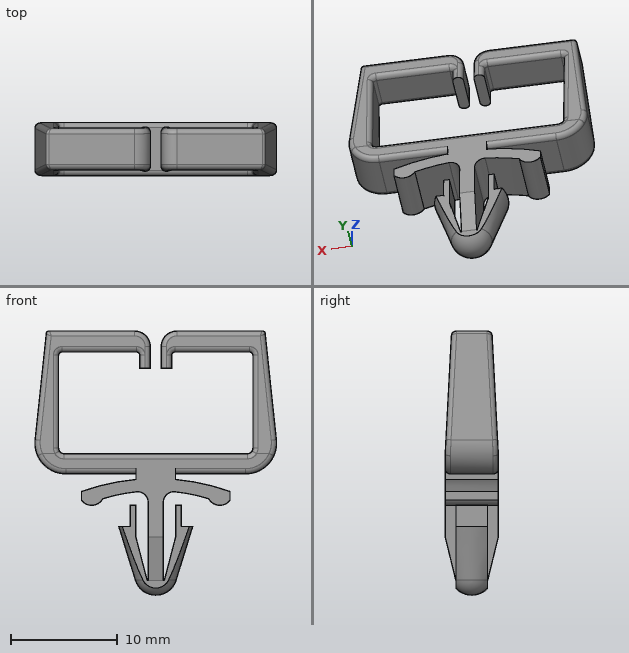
import cadquery as cq
import math

HEIGHT = 24.8
WIDTH = 22.7
DEPTH = 5.0

LOOP_BOTTOM = 11.38
LOOP_CORNER_RADIUS = 2.9
SIDE_LEAN = 6.0
FACE_DRAFT = 3.0
WINDOW_WIDTH = 18.2
WINDOW_FLOOR = 13.3
WINDOW_CEILING = 22.82
FLOOR_CORNER_RADIUS = 0.5
CEILING_CORNER_RADIUS = 0.3
EDGE_RADIUS = 0.5
SHOULDER_RADIUS = 0.25

GAP_WIDTH = 1.0
LIP_THICKNESS = 1.02
LIP_BOTTOM = 21.28
LIP_OUTER_RADIUS = 1.5

NECK_WIDTH = 3.72
WING_SPAN = 13.95
WING_CROWN = 10.95
WING_UPPER_RADIUS = 20.58
WING_UNDERSIDE = 9.8
WING_LOWER_RADIUS = 16.86
FOOT_TOP = 8.93
FOOT_BOTTOM = 8.43
FOOT_WIDTH = 2.0
STEM_WIDTH = 1.45
STEM_FILLET = 1.0
STEM_TAPER_TOP = 5.48

ANCHOR_DEPTH = 3.0
TIP_RADIUS = 2.0
BARB_DIAMETER = 6.97
BARB_LEDGE = 6.47
FINGER_TOP = 8.45
FINGER_THICKNESS = 0.55
SLOT_TOP_WIDTH = 3.72
SLOT_BOTTOM_WIDTH = 1.59
SLOT_BOTTOM = 1.4

TOLERANCE = 0.0002


def polar(center_x, center_z, radius, degrees):
    angle = math.radians(degrees)
    return center_x + radius * math.cos(angle), center_z + radius * math.sin(angle)


def extrude_across(sketch, depth):
    """Extrude an XZ outline by the given depth, centred on Y = 0."""
    return sketch.extrude(depth / 2, both=True)


def loop_outline():
    """Right half of the loop, from the centre of its underside to the lip."""
    corner_x = WIDTH / 2 - LOOP_CORNER_RADIUS
    corner_z = LOOP_BOTTOM + LOOP_CORNER_RADIUS
    wall_x, wall_z = polar(corner_x, corner_z, LOOP_CORNER_RADIUS, SIDE_LEAN)
    shoulder_x = wall_x - (HEIGHT - wall_z) * math.tan(math.radians(SIDE_LEAN))
    lip_outer = GAP_WIDTH / 2
    lip_inner = lip_outer + LIP_THICKNESS
    lip_center = (lip_outer + LIP_OUTER_RADIUS, HEIGHT - LIP_OUTER_RADIUS)
    window_x = WINDOW_WIDTH / 2
    ceiling_r = CEILING_CORNER_RADIUS
    ceiling_z = WINDOW_CEILING - ceiling_r
    floor_r = FLOOR_CORNER_RADIUS
    return (
        cq.Workplane("XZ")
        .moveTo(0, LOOP_BOTTOM)
        .lineTo(corner_x, LOOP_BOTTOM)
        .threePointArc(
            polar(corner_x, corner_z, LOOP_CORNER_RADIUS, (SIDE_LEAN - 90) / 2),
            (wall_x, wall_z),
        )
        .lineTo(shoulder_x, HEIGHT)
        .lineTo(lip_center[0], HEIGHT)
        .threePointArc(polar(*lip_center, LIP_OUTER_RADIUS, 135), (lip_outer, lip_center[1]))
        .lineTo(lip_outer, LIP_BOTTOM)
        .lineTo(lip_inner, LIP_BOTTOM)
        .lineTo(lip_inner, ceiling_z)
        .threePointArc(
            polar(lip_inner + ceiling_r, ceiling_z, ceiling_r, 135),
            (lip_inner + ceiling_r, WINDOW_CEILING),
        )
        .lineTo(window_x - ceiling_r, WINDOW_CEILING)
        .threePointArc(
            polar(window_x - ceiling_r, ceiling_z, ceiling_r, 45), (window_x, ceiling_z)
        )
        .lineTo(window_x, WINDOW_FLOOR + floor_r)
        .threePointArc(
            polar(window_x - floor_r, WINDOW_FLOOR + floor_r, floor_r, -45),
            (window_x - floor_r, WINDOW_FLOOR),
        )
        .lineTo(0, WINDOW_FLOOR)
        .close()
    )


def drafted_envelope():
    """Side outline of the loop: straight up to the window floor, then narrowing."""
    top_half = DEPTH / 2 - (HEIGHT - WINDOW_FLOOR) * math.tan(math.radians(FACE_DRAFT))
    return (
        cq.Workplane("YZ")
        .moveTo(-DEPTH / 2, 0)
        .lineTo(DEPTH / 2, 0)
        .lineTo(DEPTH / 2, WINDOW_FLOOR)
        .lineTo(top_half, HEIGHT)
        .lineTo(-top_half, HEIGHT)
        .lineTo(-DEPTH / 2, WINDOW_FLOOR)
        .close()
        .extrude(WIDTH, both=True)
    )


def is_face_rim(edge):
    """True for the edges round the front and back faces of the right loop half."""
    center = edge.Center()
    box = edge.BoundingBox()
    on_faces = abs(center.y) > DEPTH / 4
    is_level = box.zlen < TOLERANCE
    on_center_cut = box.xmax < TOLERANCE
    on_lip_end = is_level and abs(center.z - LIP_BOTTOM) < TOLERANCE
    on_draft_start = is_level and center.x > WINDOW_WIDTH / 2
    return on_faces and not (on_center_cut or on_lip_end or on_draft_start)


def make_loop():
    half = extrude_across(loop_outline(), DEPTH).intersect(drafted_envelope())
    half = half.edges("|Y").edges(">Z").edges(">X").fillet(SHOULDER_RADIUS)
    half = half.edges().filter(is_face_rim).fillet(EDGE_RADIUS)
    return half.union(half.mirror("YZ"))


def arc_height(crown, radius, x):
    """Height at x of an arc that peaks at the crown on the centre line."""
    return crown - radius + math.sqrt(radius**2 - x**2)


def make_neck_and_wings():
    neck_x = NECK_WIDTH / 2
    tip_x = WING_SPAN / 2
    stem_x = STEM_WIDTH / 2
    root_x = stem_x + STEM_FILLET
    foot_x = tip_x - FOOT_WIDTH
    upper_mid = (neck_x + tip_x) / 2
    lower_mid = (root_x + foot_x) / 2
    root_z = arc_height(WING_UNDERSIDE, WING_LOWER_RADIUS, root_x)
    neck_top = (LOOP_BOTTOM + WINDOW_FLOOR) / 2

    def upper(x):
        return x, arc_height(WING_CROWN, WING_UPPER_RADIUS, x)

    def lower(x):
        return x, arc_height(WING_UNDERSIDE, WING_LOWER_RADIUS, x)

    half = (
        cq.Workplane("XZ")
        .moveTo(0, neck_top)
        .lineTo(neck_x, neck_top)
        .lineTo(*upper(neck_x))
        .threePointArc(upper(upper_mid), upper(tip_x))
        .lineTo(tip_x, FOOT_TOP)
        .threePointArc((tip_x - FOOT_WIDTH / 2, FOOT_BOTTOM), lower(foot_x))
        .threePointArc(lower(lower_mid), lower(root_x))
        .threePointArc(
            polar(root_x, root_z - STEM_FILLET, STEM_FILLET, 135),
            (stem_x, root_z - STEM_FILLET),
        )
        .lineTo(0, root_z - STEM_FILLET)
        .close()
    )
    half = extrude_across(half, DEPTH)
    return half.union(half.mirror("YZ"))


def make_stem():
    """Flat stem that narrows in depth towards the anchor tip."""
    side = (
        cq.Workplane("YZ")
        .moveTo(-DEPTH / 2, WING_UNDERSIDE)
        .lineTo(-DEPTH / 2, STEM_TAPER_TOP)
        .lineTo(-ANCHOR_DEPTH / 2, SLOT_BOTTOM)
        .lineTo(ANCHOR_DEPTH / 2, SLOT_BOTTOM)
        .lineTo(DEPTH / 2, STEM_TAPER_TOP)
        .lineTo(DEPTH / 2, WING_UNDERSIDE)
        .close()
    )
    return side.extrude(STEM_WIDTH / 2, both=True)


def make_anchor():
    """Round-nosed cone cut flat at front and back, slotted into two barbed fingers."""
    barb_radius = BARB_DIAMETER / 2
    finger_radius = SLOT_TOP_WIDTH / 2 + FINGER_THICKNESS
    rise = BARB_LEDGE - TIP_RADIUS
    rim_distance = math.hypot(barb_radius, rise)
    tangent_angle = math.degrees(math.atan2(rise, barb_radius) - math.acos(TIP_RADIUS / rim_distance))
    nose = (
        cq.Workplane("XZ")
        .moveTo(0, 0)
        .threePointArc(
            polar(0, TIP_RADIUS, TIP_RADIUS, (tangent_angle - 90) / 2),
            polar(0, TIP_RADIUS, TIP_RADIUS, tangent_angle),
        )
        .lineTo(barb_radius, BARB_LEDGE)
        .lineTo(0, BARB_LEDGE)
        .close()
        .revolve(360, (0, 0, 0), (0, 1, 0))
    )
    flats = cq.Workplane("XY").box(
        BARB_DIAMETER, ANCHOR_DEPTH, BARB_LEDGE, centered=(True, True, False)
    )
    finger_height = FINGER_TOP - STEM_TAPER_TOP
    fingers = (
        cq.Workplane("XY")
        .workplane(offset=STEM_TAPER_TOP)
        .box(2 * finger_radius, ANCHOR_DEPTH, finger_height, centered=(True, True, False))
    )
    slot = (
        cq.Workplane("XZ")
        .moveTo(-SLOT_BOTTOM_WIDTH / 2, SLOT_BOTTOM)
        .lineTo(SLOT_BOTTOM_WIDTH / 2, SLOT_BOTTOM)
        .lineTo(SLOT_TOP_WIDTH / 2, STEM_TAPER_TOP)
        .lineTo(SLOT_TOP_WIDTH / 2, FINGER_TOP)
        .lineTo(-SLOT_TOP_WIDTH / 2, FINGER_TOP)
        .lineTo(-SLOT_TOP_WIDTH / 2, STEM_TAPER_TOP)
        .close()
    )
    return nose.intersect(flats).union(fingers).cut(extrude_across(slot, DEPTH))


result = make_loop().union(make_neck_and_wings()).union(make_stem()).union(make_anchor())